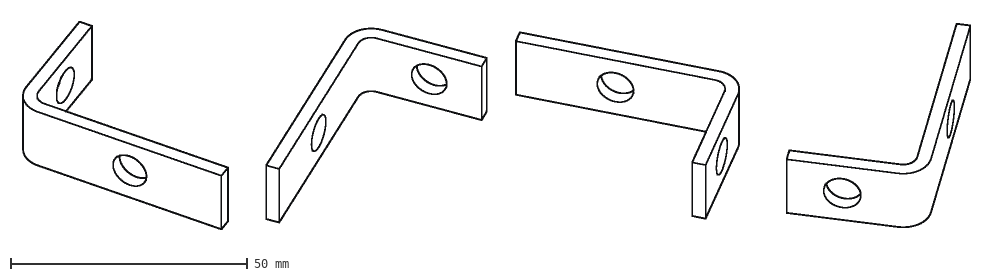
import cadquery as cq

long_leg = 50.0
short_leg = 30.0
height = 15.0
thickness = 3.0
inner_bend_radius = 3.0
hole_diameter = 8.0

outer_bend_radius = inner_bend_radius + thickness
long_hole_x = (outer_bend_radius + long_leg) / 2
short_hole_y = (outer_bend_radius + short_leg) / 2
hole_z = height / 2


def bent_strip():
    """L-shaped strip with its outer corner at the origin and concentric bend radii."""
    outer_block = cq.Workplane("XY").box(long_leg, short_leg, height, centered=False)
    outer_block = outer_block.edges("|Z and <X and <Y").fillet(outer_bend_radius)
    inner_space = (
        cq.Workplane("XY")
        .box(long_leg - thickness, short_leg - thickness, height, centered=False)
        .edges("|Z and <X and <Y")
        .fillet(inner_bend_radius)
        .translate((thickness, thickness, 0))
    )
    return outer_block.cut(inner_space)


def hole_cutter(start, direction):
    """Cylinder that passes through one leg's thickness."""
    return cq.Workplane(
        cq.Solid.makeCylinder(hole_diameter / 2, thickness, cq.Vector(*start), cq.Vector(*direction))
    )


long_leg_hole = hole_cutter((long_hole_x, 0, hole_z), (0, 1, 0))
short_leg_hole = hole_cutter((0, short_hole_y, hole_z), (1, 0, 0))

result = bent_strip().cut(long_leg_hole).cut(short_leg_hole)